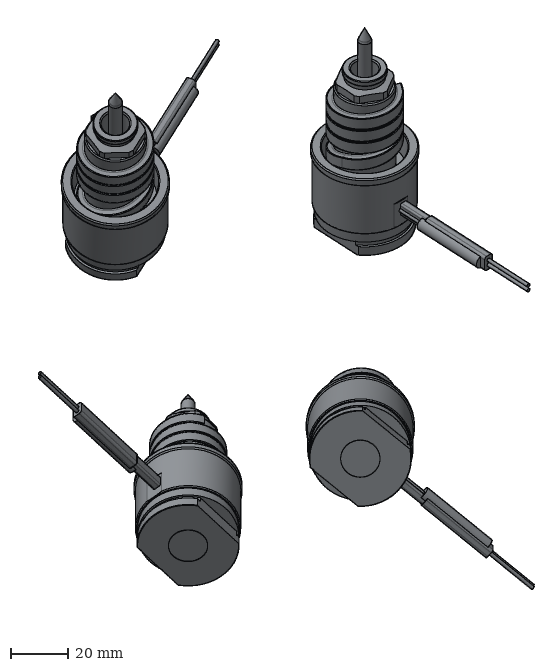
import cadquery as cq
import math

pad_radius = 6.9
pad_height = 0.2
cap_ring_radius = 17.7
foot_radius = 17.9
cap_chamfer = 0.2
cap_groove_radius = 17.0
cap_groove_bottom = 4.2
cap_groove_top = 6.2
cap_flats_distance = 28.0

cup_radius = 18.5
cup_bottom = 10.2
cup_edge_chamfer = 0.4
cup_top = 35.2
cup_bore_radius = 15.2
cup_bore_chamfer = 0.4
cup_floor_radius = 14.5
cup_floor = 26.0
rim_radius = 19.0
rim_bottom = 32.0
rim_chamfer = 0.5
cable_flat_y = 18.2
cable_flat_top = 21.3

spindle_radius = 10.9
spindle_top = 62.3
spindle_chamfer = 0.5
neck_radius = 7.3
collar_radius = 7.9
collar_bottom = 67.9
collar_top = 70.2
collar_chamfer = 0.3
bore_radius = 5.0
bore_chamfer = 0.5

nut_flats_distance = 18.9
nut_corner_radius = 10.4
nut_side_top = 65.4
nut_cone_top = 66.1
nut_cone_top_radius = neck_radius

pin_radius = 2.5
pin_side_top = 82.5
pin_cone_bottom = 83.4
pin_cone_radius = 2.2
pin_top = 88.2
shoulder_bottom = 50.0
shoulder_top = 53.0
dimple_radius = 1.4
dimple_offset = 2.2

ridge_radius = 13.6
ridge_root_radius = spindle_radius - 0.2
ridge_crest_height = 4.5
ridge_flank_height = 4.8
ridge_flank_inner_radius = 11.5
ridge_flank_outer_radius = 13.2
ridge_root_height = 5.3
ridge_pitch = 5.4
ridge_end_angle = 156.0
ridge_end_centre = 57.3
ridge_even_turn = 1116.0
ridge_run_out = ((14.0, 110.0), (24.0, 205.0))

cable_x = -1.3
cable_z = 17.1
cable_start = 17.0
cable_width = 3.2
cable_height = 5.2
cable_fillet = 0.7
sleeve_width = 3.8
sleeve_height = 6.2
sleeve_fillet = 1.0
sleeve_start = 30.9
sleeve_end = 60.9
wire_radius = 0.7
wire_spacing = 2.1
cable_end = 81.0

round_cable_x = 0.0
round_cable_z = 16.9
round_cable_radius = 0.9
round_sleeve_radius = 2.6
round_sleeve_start = 29.0
round_sleeve_end = 58.8


def revolve(outline):
    """Turn an outline of (radius, z) points about the Z axis."""
    return cq.Workplane("XZ").polyline(outline).close().revolve(360, (0, 0), (0, 1))


def make_housing():
    """Cap, cup, spindle and collar as one revolved profile."""
    outline = [
        (0, 0),
        (pad_radius, 0),
        (pad_radius, pad_height),
        (foot_radius - cap_chamfer, pad_height),
        (foot_radius, pad_height + cap_chamfer),
        (foot_radius, cap_groove_bottom),
        (cap_groove_radius, cap_groove_bottom),
        (cap_groove_radius, cap_groove_top),
        (cap_ring_radius, cap_groove_top),
        (cap_ring_radius, cup_bottom),
        (cup_radius - cup_edge_chamfer, cup_bottom),
        (cup_radius, cup_bottom + cup_edge_chamfer),
        (cup_radius, rim_bottom),
        (rim_radius, rim_bottom + rim_radius - cup_radius),
        (rim_radius, cup_top - rim_chamfer),
        (rim_radius - rim_chamfer, cup_top),
        (cup_bore_radius + cup_bore_chamfer, cup_top),
        (cup_bore_radius, cup_top - cup_bore_chamfer),
        (cup_floor_radius, cup_floor),
        (spindle_radius, cup_floor),
        (spindle_radius, spindle_top - spindle_chamfer),
        (spindle_radius - spindle_chamfer, spindle_top),
        (neck_radius, spindle_top),
        (neck_radius, collar_bottom),
        (collar_radius - collar_chamfer, collar_bottom),
        (collar_radius, collar_bottom + collar_chamfer),
        (collar_radius, collar_top - collar_chamfer),
        (collar_radius - collar_chamfer, collar_top),
        (bore_radius + bore_chamfer, collar_top),
        (bore_radius, collar_top - bore_chamfer),
        (bore_radius, shoulder_bottom),
        (0, shoulder_bottom),
    ]
    return revolve(outline)


def cut_cap_flats(body):
    """Cut the two parallel wrench flats on the foot, facing -X and +X."""
    flat_height = cap_groove_top
    for side in (-1, 1):
        waste_plane = cq.Workplane("XY", origin=(side * (cap_flats_distance + foot_radius) / 2, 0, 0))
        body = body.cut(
            waste_plane.box(foot_radius, 2 * foot_radius, flat_height, centered=(True, True, False))
        )
    return body


def cut_cable_flat(body):
    """Cut the shallow flat on the +Y side of the cup where the cable leaves."""
    flat = (
        cq.Workplane("XY", origin=(0, cable_flat_y, cup_bottom))
        .box(cup_radius, cup_radius, cable_flat_top - cup_bottom, centered=(True, False, False))
    )
    return body.cut(flat)


def make_nut():
    """Hexagon with flats facing -X and +X, trimmed by a cylinder and a shallow cone."""
    across_corners = nut_flats_distance / math.cos(math.pi / 6)
    hexagon = (
        cq.Workplane("XY", origin=(0, 0, spindle_top))
        .polygon(6, across_corners)
        .extrude(nut_cone_top - spindle_top)
        .rotate((0, 0, 0), (0, 0, 1), 30)
    )
    envelope = revolve([
        (0, spindle_top),
        (nut_corner_radius, spindle_top),
        (nut_corner_radius, nut_side_top),
        (nut_cone_top_radius, nut_cone_top),
        (0, nut_cone_top),
    ])
    bore = cq.Workplane("XY").circle(bore_radius).extrude(pin_top)
    return hexagon.intersect(envelope).cut(bore)


def make_pin():
    """Pointed pin with its conical shoulder and two dimples beside the shaft."""
    shoulder = revolve([
        (0, shoulder_bottom),
        (bore_radius, shoulder_bottom),
        (pin_radius, shoulder_top),
        (0, shoulder_top),
    ])
    for side in (-1, 1):
        dimple = cq.Workplane("XY", origin=(0, side * dimple_offset, shoulder_top)).sphere(dimple_radius)
        shoulder = shoulder.cut(dimple)
    shaft = revolve([
        (0, shoulder_bottom),
        (pin_radius, shoulder_bottom),
        (pin_radius, pin_side_top),
        (pin_cone_radius, pin_cone_bottom),
        (0, pin_top),
    ])
    return shoulder.union(shaft)


def make_ridge_stretch(pitch, turn, top_angle, top_centre):
    """One helical stretch of the ridge, reaching `turn` degrees down from its top end."""
    drop = pitch * turn / 360
    upper_side = [
        (ridge_radius, ridge_crest_height / 2),
        (ridge_flank_outer_radius, ridge_flank_height / 2),
        (ridge_flank_inner_radius, ridge_flank_height / 2),
        (ridge_root_radius, ridge_root_height / 2),
    ]
    lower_side = [(radius, -height) for radius, height in reversed(upper_side)]
    path = cq.Wire.makeHelix(pitch, drop, ridge_root_radius)
    stretch = (
        cq.Workplane("XZ")
        .polyline(lower_side + upper_side)
        .close()
        .sweep(cq.Workplane(path), isFrenet=True)
    )
    bottom_angle = top_angle - turn
    return stretch.rotate((0, 0, 0), (0, 0, 1), bottom_angle).translate((0, 0, top_centre - drop))


def add_ridge(body):
    """Add the even screw turns and the steepening run-out that sinks into the cup."""
    angle = ridge_end_angle
    centre = ridge_end_centre
    for pitch, turn in ((ridge_pitch, ridge_even_turn),) + ridge_run_out:
        body = body.union(make_ridge_stretch(pitch, turn, angle, centre))
        angle -= turn
        centre -= pitch * turn / 360
    return body


def make_bar(width, height, fillet, start, end):
    """Rounded rectangular bar along +Y, centred on the flat cable."""
    return (
        cq.Workplane("XY", origin=(cable_x, start, cable_z))
        .box(width, end - start, height, centered=(True, False, True))
        .edges("|Y")
        .fillet(fillet)
    )


def make_rod(x, z, radius, start, end):
    """Round rod along +Y."""
    return cq.Workplane("XZ", origin=(x, start, z)).circle(radius).extrude(start - end)


def make_cables():
    """Flat cable with its sleeve and two bare wires, and the round cable beside it."""
    cables = make_bar(cable_width, cable_height, cable_fillet, cable_start, sleeve_end)
    cables = cables.union(make_bar(sleeve_width, sleeve_height, sleeve_fillet, sleeve_start, sleeve_end))
    for side in (-1, 1):
        wire_z = cable_z + side * wire_spacing / 2
        cables = cables.union(make_rod(cable_x, wire_z, wire_radius, sleeve_start, cable_end))
    cables = cables.union(
        make_rod(round_cable_x, round_cable_z, round_cable_radius, cable_start, round_sleeve_end)
    )
    return cables.union(
        make_rod(round_cable_x, round_cable_z, round_sleeve_radius, round_sleeve_start, round_sleeve_end)
    )


housing = cut_cable_flat(cut_cap_flats(make_housing()))
housing = add_ridge(housing)
result = housing.union(make_nut()).union(make_pin()).union(make_cables())